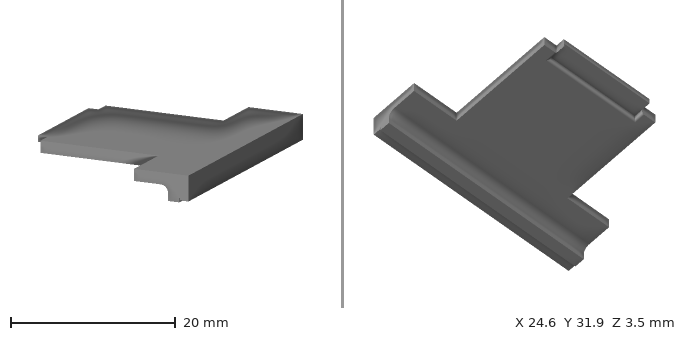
import cadquery as cq

length = 24.6
flange_width = 31.85
height = 3.5

tab_length = 1.35
tab_half_width = 7
body_back = 8.98
body_front = -9.15
flange_start = 17.25

plate_thickness = 1.53
heel_start = 21.85
heel_fillet = 1.0
step_start = 23.38
step_depth = 3.25
slit_width = 0.05
slit_top = 2.93

tab_thickness = 0.83
recess_end = 2 * tab_length
end_wall = 0.1
recess_round = 0.32
overrun = 1.6


def box(x_range, y_range, z_range):
    """Block spanning the given (low, high) limits on each axis."""
    spans = [high - low for low, high in (x_range, y_range, z_range)]
    return cq.Workplane("XY").box(*spans, centered=False).translate(
        (x_range[0], y_range[0], z_range[0])
    )


def profile_bar():
    """Plate with a downturned heel, across the full width and past the tab tip."""
    profile = (
        cq.Workplane("XZ")
        .moveTo(-overrun, 0)
        .lineTo(length, 0)
        .lineTo(length, -step_depth)
        .lineTo(step_start + slit_width, -step_depth)
        .lineTo(step_start + slit_width, -slit_top)
        .lineTo(step_start, -slit_top)
        .lineTo(step_start, -height)
        .lineTo(heel_start, -height)
        .lineTo(heel_start, -plate_thickness - heel_fillet)
        .radiusArc((heel_start - heel_fillet, -plate_thickness), -heel_fillet)
        .lineTo(-overrun, -plate_thickness)
        .close()
    )
    return profile.extrude(flange_width / 2, both=True)


def recess_tab(bar):
    """Thin the tab from below, leaving a fine wall at +Y, and round the recess mouth."""
    recess = box(
        (-overrun, recess_end),
        (-tab_half_width, tab_half_width - end_wall),
        (-plate_thickness, -tab_thickness),
    )
    margin = recess_round / 2
    mouth = cq.selectors.BoxSelector(
        (-overrun, -tab_half_width - margin, -plate_thickness - margin),
        (recess_end + margin, tab_half_width + margin, -plate_thickness + margin),
    )
    inner_edges = cq.selectors.BoxSelector(
        (-overrun + margin, -flange_width, -height),
        (length, flange_width, 0),
    )
    return bar.cut(recess).edges(mouth).edges(inner_edges).fillet(recess_round)


def plan_block():
    """Full-height block with the stepped T outline."""
    z_range = (-height, 0)
    half_flange = flange_width / 2
    tab = box((0, length), (-tab_half_width, tab_half_width), z_range)
    body = box((tab_length, length), (body_front, body_back), z_range)
    flange = box((flange_start, length), (-half_flange, half_flange), z_range)
    return tab.union(body).union(flange)


result = recess_tab(profile_bar()).intersect(plan_block())